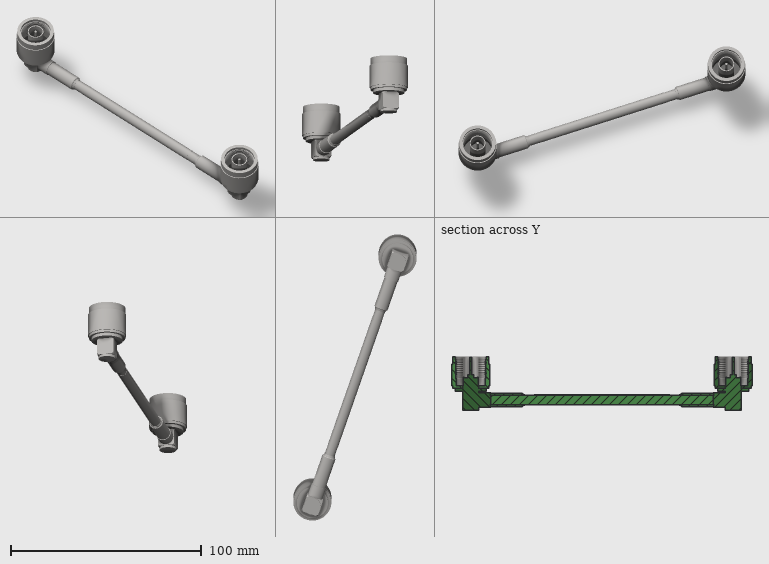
import cadquery as cq


total_length = 157.8
total_height = 28.4

nut_diameter = 20.0
nut_rim_radius = 9.6
nut_bottom = 11.7
nut_grip_bottom = 13.0
nut_grip_top = 24.6
nut_mouth_radius = 7.9
nut_mouth_depth = 1.5
nut_bore_radius = 7.5
nut_floor = 13.3
thread_pitch = 1.1
thread_count = 9

block_size = 8.8
block_corner_radius = 7.1
cap_height = 1.3
neck_radius = 4.0
neck_end_x = 58.4
flange_radius = 8.2
tube_radius = 4.1
tube_bore_radius = 3.6
tube_top = 28.1
tube_floor = 17.4
shoulder_radius = 1.7
shoulder_height = 1.5
pin_radius = 0.6

ferrule_radius = 3.6
ferrule_end_x = 41.8
ferrule_chamfer = 0.3
ferrule_lip_root_radius = 3.2
ferrule_lip_tip_radius = 2.8
ferrule_lip_length = 1.1

cable_radius = 2.7
sleeve_diameter = 5.5
label_half_length = 9.8
sleeve_end_x = 35.5

axis_z = cap_height + block_size / 2
block_top = cap_height + block_size
plug_x = (total_length - nut_diameter) / 2


def upright_cylinder(radius, bottom, top):
    """Cylinder on the plug axis between two heights."""
    return cq.Workplane("XY", origin=(-plug_x, 0, bottom)).circle(radius).extrude(top - bottom)


def cable_axis_cylinder(radius, start_x, end_x):
    """Cylinder on the cable axis between two X positions."""
    return cq.Workplane("YZ", origin=(start_x, 0, axis_z)).circle(radius).extrude(end_x - start_x)


def make_thread_groove(top):
    """V-shaped ring, one thread pitch tall, that cuts one groove into the nut's bore."""
    return (
        cq.Workplane("XZ", origin=(-plug_x, 0, top))
        .polyline([
            (0, 0),
            (nut_bore_radius, 0),
            (nut_mouth_radius, -thread_pitch / 2),
            (nut_bore_radius, -thread_pitch),
            (0, -thread_pitch),
        ])
        .close()
        .revolve(360, (0, 0), (0, 1))
    )


def make_nut():
    """Coupling nut: raised grip band, open top and a floor that the tube passes through."""
    nut = upright_cylinder(nut_rim_radius, nut_bottom, total_height)
    nut = nut.union(upright_cylinder(nut_diameter / 2, nut_grip_bottom, nut_grip_top))
    nut = nut.cut(upright_cylinder(nut_bore_radius, nut_floor, total_height))
    nut = nut.cut(upright_cylinder(nut_mouth_radius, total_height - nut_mouth_depth, total_height))
    nut = nut.cut(upright_cylinder(tube_radius, nut_bottom, nut_floor))
    for turn in range(thread_count):
        nut = nut.cut(make_thread_groove(total_height - nut_mouth_depth - turn * thread_pitch))
    return nut


def make_elbow():
    """Elbow body: block with bottom cap, side neck, flange, contact tube and pin."""
    block = (
        cq.Workplane("XY", origin=(-plug_x, 0, axis_z))
        .box(block_size, block_size, block_size)
        .intersect(cq.Workplane("XY", origin=(-plug_x, 0, axis_z)).sphere(block_corner_radius))
    )
    cap = upright_cylinder(block_size / 2, 0, cap_height)
    neck = cable_axis_cylinder(neck_radius, -plug_x, -neck_end_x)
    flange = upright_cylinder(flange_radius, block_top, nut_bottom)
    tube = upright_cylinder(tube_radius, nut_bottom, tube_top)
    tube = tube.cut(upright_cylinder(tube_bore_radius, tube_floor, tube_top))
    shoulder = upright_cylinder(shoulder_radius, tube_floor, tube_floor + shoulder_height)
    pin = upright_cylinder(pin_radius, tube_floor, tube_top)
    elbow = block
    for feature in (cap, neck, flange, tube, shoulder, pin):
        elbow = elbow.union(feature)
    return elbow


def make_ferrule():
    """Crimp ferrule: tube around the cable with a chamfered end and a smaller tapered lip."""
    barrel_end_x = -ferrule_end_x
    lip_end_x = barrel_end_x + ferrule_lip_length
    half_section = [
        (-neck_end_x, cable_radius),
        (-neck_end_x, ferrule_radius),
        (barrel_end_x - ferrule_chamfer, ferrule_radius),
        (barrel_end_x, ferrule_radius - ferrule_chamfer),
        (barrel_end_x, ferrule_lip_root_radius),
        (lip_end_x, ferrule_lip_tip_radius),
        (lip_end_x, cable_radius),
    ]
    return (
        cq.Workplane("XZ", origin=(0, 0, axis_z))
        .polyline(half_section).close()
        .revolve(360, (0, 0), (1, 0))
    )


def make_sleeve(start_x, end_x):
    """Thin sleeve around the cable."""
    sleeve = cable_axis_cylinder(sleeve_diameter / 2, start_x, end_x)
    return sleeve.cut(cable_axis_cylinder(cable_radius, start_x, end_x))


cable = cable_axis_cylinder(cable_radius, -neck_end_x, neck_end_x)
label = make_sleeve(-label_half_length, label_half_length)
shrink_sleeve = make_sleeve(-sleeve_end_x, -label_half_length)

bodies = [cable.val(), label.val()]
for body in (make_nut(), make_elbow(), make_ferrule(), shrink_sleeve):
    bodies.append(body.val())
    bodies.append(body.mirror("YZ").val())

result = cq.Compound.makeCompound(bodies)